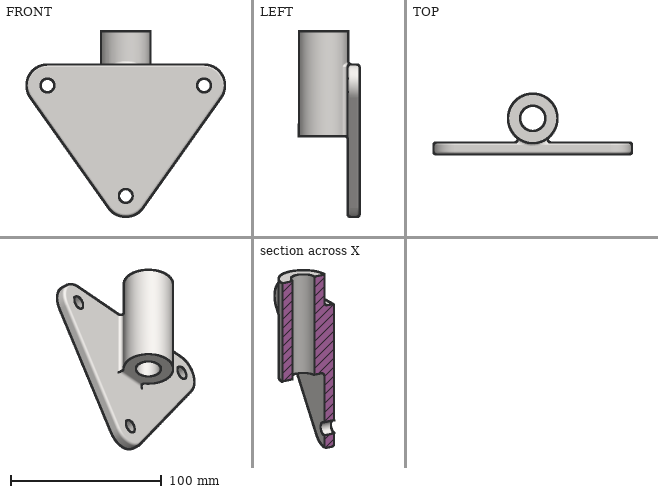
import cadquery as cq
import math

plate_width = 132.0
plate_thickness = 8.0
corner_radius = 14.0
corner_drop = 73.4
corner_half_span = plate_width / 2 - corner_radius
plate_top = corner_drop + corner_radius
edge_radius = 2.0
mount_hole_diameter = 9.0
corner_centers = [(-corner_half_span, corner_drop), (corner_half_span, corner_drop), (0, 0)]

tube_radius = 16.5
bore_diameter = 16.6
tube_length = 69.9
tube_rise = 22.2
tube_sink = 0.5
tube_y = tube_radius - tube_sink
tube_top = plate_top + tube_rise
tube_bottom = tube_top - tube_length

joint_fillet = 2.0


def make_plate():
    """Triangle with round corners and rounded edges on both faces."""
    side_length = math.hypot(corner_half_span, corner_drop)
    normal_x = corner_drop / side_length
    normal_z = -corner_half_span / side_length
    tangent_x = corner_radius * normal_x
    tangent_z = corner_radius * normal_z
    mid_angle = (math.atan2(normal_z, normal_x) + math.pi / 2) / 2
    mid_x = corner_half_span + corner_radius * math.cos(mid_angle)
    mid_z = corner_drop + corner_radius * math.sin(mid_angle)
    upper_x = corner_half_span + tangent_x
    upper_z = corner_drop + tangent_z
    return (
        cq.Workplane("XZ")
        .moveTo(-corner_half_span, plate_top)
        .lineTo(corner_half_span, plate_top)
        .threePointArc((mid_x, mid_z), (upper_x, upper_z))
        .lineTo(tangent_x, tangent_z)
        .threePointArc((0, -corner_radius), (-tangent_x, tangent_z))
        .lineTo(-upper_x, upper_z)
        .threePointArc((-mid_x, mid_z), (-corner_half_span, plate_top))
        .close()
        .extrude(plate_thickness)
        .faces("<Y or >Y")
        .edges()
        .fillet(edge_radius)
    )


def tube_cylinder(diameter):
    """Cylinder on the tube axis, over the full tube length."""
    return (
        cq.Workplane("XY", origin=(0, tube_y, tube_bottom))
        .circle(diameter / 2)
        .extrude(tube_length)
    )


def fillet_joint(body):
    """Fillet the sides, top and bottom of the joint between tube and plate."""
    joint_half_width = math.sqrt(tube_radius**2 - tube_y**2)
    side_height = plate_top - edge_radius
    side_edge = cq.selectors.NearestToPointSelector(
        (joint_half_width, 0, (tube_bottom + side_height) / 2)
    )
    bottom_edge = cq.selectors.NearestToPointSelector((0, 0, tube_bottom))
    return body.edges(side_edge + bottom_edge).fillet(joint_fillet)


mount_holes = (
    cq.Workplane("XZ")
    .pushPoints(corner_centers)
    .circle(mount_hole_diameter / 2)
    .extrude(plate_thickness)
)

joined_body = fillet_joint(make_plate().union(tube_cylinder(2 * tube_radius)))
result = joined_body.cut(tube_cylinder(bore_diameter)).cut(mount_holes)